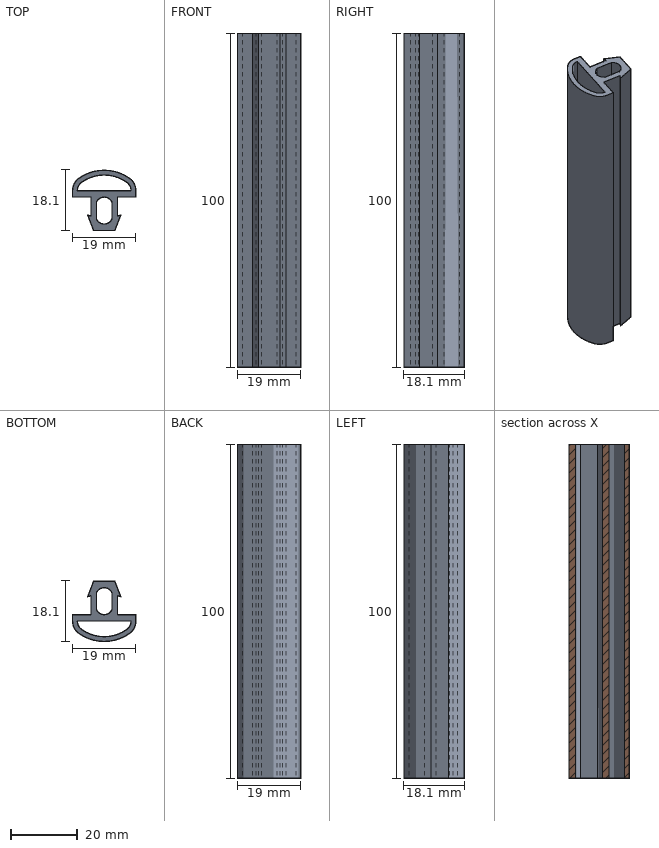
import cadquery as cq
import math

LENGTH = 100.0
WIDTH = 19.0
HEIGHT = 18.1

FLANGE_BOTTOM = 10.0
FLANGE_TOP = 12.0
DOME_SIDE_RADIUS = 4.5
DOME_WALL = 1.5

STEM_WIDTH = 8.0
BARB_WIDTH = 10.0
BARB_TIP = 4.7
BARB_ROOT = 4.4
FOOT_WIDTH = 6.4

CHANNEL_WIDTH = 4.6
CHANNEL_BOTTOM = 2.0
CHANNEL_TOP = 10.0
CHANNEL_END_RISE = 1.5


def dome_profile(inset):
    """Three tangent arcs closed by a flat base, moved inward by inset."""
    side_x = WIDTH / 2 - DOME_SIDE_RADIUS
    rise = HEIGHT - FLANGE_TOP
    crown_radius = (side_x**2 + rise**2 - DOME_SIDE_RADIUS**2) / (2 * (rise - DOME_SIDE_RADIUS))
    crown_y = HEIGHT - crown_radius
    tangent_angle = math.atan2(FLANGE_TOP - crown_y, side_x)
    crown = crown_radius - inset
    side = DOME_SIDE_RADIUS - inset

    join_x = crown * math.cos(tangent_angle)
    join_y = crown_y + crown * math.sin(tangent_angle)
    middle_x = side_x + side * math.cos(tangent_angle / 2)
    middle_y = FLANGE_TOP + side * math.sin(tangent_angle / 2)
    edge_x = WIDTH / 2 - inset
    return (
        cq.Workplane("XY")
        .moveTo(edge_x, FLANGE_TOP)
        .threePointArc((middle_x, middle_y), (join_x, join_y))
        .threePointArc((0, HEIGHT - inset), (-join_x, join_y))
        .threePointArc((-middle_x, middle_y), (-edge_x, FLANGE_TOP))
        .close()
    )


def barbed_stem():
    right_side = [
        (FOOT_WIDTH / 2, 0),
        (BARB_WIDTH / 2, BARB_TIP),
        (STEM_WIDTH / 2, BARB_ROOT),
        (STEM_WIDTH / 2, FLANGE_TOP),
    ]
    left_side = [(-x, y) for x, y in reversed(right_side)]
    return cq.Workplane("XY").polyline(right_side + left_side).close().extrude(LENGTH)


def stem_channel():
    half = CHANNEL_WIDTH / 2
    lower = CHANNEL_BOTTOM + CHANNEL_END_RISE
    upper = CHANNEL_TOP - CHANNEL_END_RISE
    return (
        cq.Workplane("XY")
        .moveTo(half, lower)
        .lineTo(half, upper)
        .threePointArc((0, CHANNEL_TOP), (-half, upper))
        .lineTo(-half, lower)
        .threePointArc((0, CHANNEL_BOTTOM), (half, lower))
        .close()
        .extrude(LENGTH)
    )


dome = dome_profile(0).extrude(LENGTH).cut(dome_profile(DOME_WALL).extrude(LENGTH))
flange = (
    cq.Workplane("XY")
    .center(0, (FLANGE_BOTTOM + FLANGE_TOP) / 2)
    .rect(WIDTH, FLANGE_TOP - FLANGE_BOTTOM)
    .extrude(LENGTH)
)

result = dome.union(flange).union(barbed_stem()).cut(stem_channel()).clean()